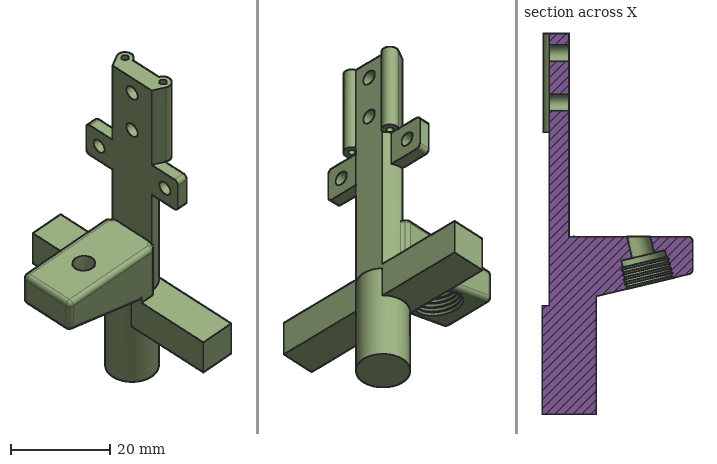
import cadquery as cq
import math


POST_DIA = 11.0
POST_HEIGHT = 22.0
TOTAL_HEIGHT = 77.0

BAR_LENGTH = 48.0
BAR_SIDE = 8.1
BAR_BOTTOM_Z = 15.0

CHANNEL_LENGTH = 20.0
CHANNEL_HOLE_DIA = 1.5
CHANNEL_OUTER_DIA = 3.5
CHANNEL_X = 5.35
CHANNEL_Y = 3.5

TAB_SPAN = 25.8
TAB_HEIGHT = 8.0
TAB_THICKNESS = 2.6
TAB_CORNER_RADIUS = 1.0
TAB_HOLE_SPACING = 18.5
TAB_HOLE_DIA = 3.1
MAST_HOLE_DIA = 3.2
MAST_HOLE_COUNT = 2
MAST_HOLE_PITCH = 10.0
MAST_HOLE_END_DISTANCE = 4.0

ARM_WIDTH = 13.2
ARM_REACH = 25.0
ARM_TOP_Z = 36.0
ARM_TIP_BOTTOM_Z = 28.5
ARM_ROOT_BOTTOM_Z = 23.5

SCREW_HOLE_DIA = 4.5
SCREW_HOLE_LENGTH = 4.0
SCREW_HOLE_Y = -14.0
BORE_DIA = 9.0
GROOVE_DIA = 9.91
GROOVE_PITCH = 1.0

POST_RADIUS = POST_DIA / 2
BAR_HALF = BAR_SIDE / 2
BAR_TOP_Z = BAR_BOTTOM_Z + BAR_SIDE
CHANNEL_BOTTOM_Z = TOTAL_HEIGHT - CHANNEL_LENGTH
ARM_EDGE_RADIUS = (ARM_WIDTH - POST_DIA) / 2
ARM_SLOPE = math.atan2(ARM_TIP_BOTTOM_Z - ARM_ROOT_BOTTOM_Z, ARM_REACH - BAR_HALF)


def box(x_range, y_range, z_range):
    """Axis-aligned block between pairs of limits."""
    size = [high - low for low, high in (x_range, y_range, z_range)]
    corner = (x_range[0], y_range[0], z_range[0])
    return cq.Workplane("XY").box(*size, centered=False).translate(corner)


def arc_middle(centre, start, end):
    """Middle point of the shorter arc from start to end about centre."""
    toward_middle = (start + end) * 0.5 - centre
    return centre + toward_middle.normalized() * (start - centre).Length


def make_post():
    """Round post, with its front half carried up into the arm."""
    post = cq.Workplane("XY").circle(POST_RADIUS).extrude(POST_HEIGHT)
    neck = cq.Workplane("XY").circle(POST_RADIUS).extrude(ARM_TIP_BOTTOM_Z)
    front = box((-POST_DIA, POST_DIA), (-POST_DIA, 0), (0, ARM_TIP_BOTTOM_Z))
    return post.union(neck.intersect(front))


def make_bar():
    """Square bar crossing the post."""
    return box((-BAR_LENGTH / 2, BAR_LENGTH / 2), (-BAR_HALF, BAR_HALF), (BAR_BOTTOM_Z, BAR_TOP_Z))


def make_mast():
    """Half-round mast, flat at the front and trimmed level with the bar at the back."""
    rod = cq.Workplane("XY").circle(POST_RADIUS).extrude(TOTAL_HEIGHT)
    slab = box((-POST_RADIUS, POST_RADIUS), (0, BAR_HALF), (BAR_BOTTOM_Z, TOTAL_HEIGHT))
    return rod.intersect(slab)


def make_channel(side):
    """Round channel wall with a flat web running tangentially to the mast's front corner."""
    radius = CHANNEL_OUTER_DIA / 2
    offset_x = CHANNEL_X - POST_RADIUS
    distance = math.hypot(offset_x, CHANNEL_Y)
    normal_angle = math.atan2(-CHANNEL_Y, -offset_x) + math.acos(radius / distance)
    tangent_x = CHANNEL_X + radius * math.cos(normal_angle)
    tangent_y = CHANNEL_Y + radius * math.sin(normal_angle)
    level = cq.Workplane("XY").workplane(offset=CHANNEL_BOTTOM_Z)
    wall = level.center(side * CHANNEL_X, CHANNEL_Y).circle(radius).extrude(CHANNEL_LENGTH)
    web = (
        level.moveTo(0, 0)
        .lineTo(side * POST_RADIUS, 0)
        .lineTo(side * tangent_x, tangent_y)
        .lineTo(side * CHANNEL_X, CHANNEL_Y)
        .lineTo(0, CHANNEL_Y)
        .close()
        .extrude(CHANNEL_LENGTH)
    )
    return wall.union(web)


def make_tabs():
    """Plate across the mast forming a rounded tab on each side."""
    z_range = (CHANNEL_BOTTOM_Z - TAB_HEIGHT, CHANNEL_BOTTOM_Z)
    plate = box((-TAB_SPAN / 2, TAB_SPAN / 2), (0, TAB_THICKNESS), z_range)
    return plate.edges("|Y").fillet(TAB_CORNER_RADIUS)


def make_arm_plan():
    """Arm outline from above, widening from the mast through a concave and a convex round."""
    radius = ARM_EDGE_RADIUS
    round_centre = cq.Vector(POST_RADIUS, -radius)
    round_distance = math.hypot(POST_RADIUS, radius)
    hollow_distance = POST_RADIUS + radius
    cos_apex = (round_distance**2 + hollow_distance**2 - (2 * radius) ** 2) / (
        2 * round_distance * hollow_distance
    )
    hollow_angle = math.acos(cos_apex) - math.atan2(radius, POST_RADIUS)
    hollow_centre = cq.Vector(math.cos(hollow_angle), math.sin(hollow_angle)) * hollow_distance

    on_mast = hollow_centre * (POST_RADIUS / hollow_distance)
    between = (round_centre + hollow_centre) * 0.5
    on_side = round_centre + cq.Vector(radius, 0)
    hollow_mid = arc_middle(hollow_centre, on_mast, between)
    round_mid = arc_middle(round_centre, between, on_side)

    half = (
        cq.Workplane("XY")
        .workplane(offset=BAR_TOP_Z)
        .moveTo(0, 0)
        .lineTo(on_mast.x, on_mast.y)
        .threePointArc((hollow_mid.x, hollow_mid.y), (between.x, between.y))
        .threePointArc((round_mid.x, round_mid.y), (on_side.x, on_side.y))
        .lineTo(ARM_WIDTH / 2, -ARM_REACH)
        .lineTo(0, -ARM_REACH)
        .close()
        .extrude(ARM_TOP_Z - BAR_TOP_Z)
    )
    return half.union(half.mirror("YZ")).clean()


def make_arm():
    """Arm with a sloping underside and rounded edges, standing on the bar at its root."""
    profile = [
        (POST_RADIUS, BAR_TOP_Z),
        (POST_RADIUS, ARM_TOP_Z),
        (-ARM_REACH, ARM_TOP_Z),
        (-ARM_REACH, ARM_TIP_BOTTOM_Z),
        (-BAR_HALF, ARM_ROOT_BOTTOM_Z),
        (-BAR_HALF, BAR_TOP_Z),
    ]
    wedge = cq.Workplane("YZ").polyline(profile).close().extrude(ARM_WIDTH, both=True)
    arm = make_arm_plan().intersect(wedge)
    tip_edges = arm.faces("<Y").edges()
    top_edges = arm.faces(">Z").edges("|Y or %CIRCLE")
    slope_edges = arm.edges("%LINE").edges("not(|X or |Y or |Z)").edges("<X or >X")
    rounded = tip_edges.add(top_edges).add(slope_edges)
    return arm.newObject(rounded.vals()).fillet(ARM_EDGE_RADIUS)


def make_cross_hole(x, z, diameter):
    """Cutter for a hole along Y through the mast or a tab."""
    hole = cq.Workplane("XZ").center(x, z).circle(diameter / 2)
    return hole.extrude(POST_DIA, both=True)


def make_channel_hole(side):
    """Cutter for the small hole along a wire channel."""
    level = cq.Workplane("XY").workplane(offset=CHANNEL_BOTTOM_Z)
    return level.center(side * CHANNEL_X, CHANNEL_Y).circle(CHANNEL_HOLE_DIA / 2).extrude(CHANNEL_LENGTH)


def make_arm_bore():
    """Cutter for the screw hole and the grooved bore opening in the arm's underside."""
    down = cq.Vector(0, -math.sin(ARM_SLOPE), -math.cos(ARM_SLOPE))
    across = cq.Vector(1, 0, 0)
    axis = cq.Plane(origin=(0, SCREW_HOLE_Y, ARM_TOP_Z), xDir=across, normal=across.cross(down))
    root_to_hole = -BAR_HALF - SCREW_HOLE_Y
    drop = ARM_TOP_Z - ARM_ROOT_BOTTOM_Z - root_to_hole * math.tan(ARM_SLOPE)
    depth = drop * math.cos(ARM_SLOPE)
    start = -SCREW_HOLE_DIA
    end = depth + GROOVE_PITCH / 2
    groove_count = math.floor((depth - SCREW_HOLE_LENGTH) / GROOVE_PITCH)
    section = [
        (0, start),
        (SCREW_HOLE_DIA / 2, start),
        (SCREW_HOLE_DIA / 2, SCREW_HOLE_LENGTH),
        (BORE_DIA / 2, SCREW_HOLE_LENGTH),
    ]
    for index in reversed(range(groove_count)):
        groove_mid = depth - index * GROOVE_PITCH
        section.append((BORE_DIA / 2, groove_mid - GROOVE_PITCH / 2))
        section.append((GROOVE_DIA / 2, groove_mid))
    section.append((BORE_DIA / 2, end))
    section.append((0, end))
    half_section = cq.Workplane(axis).polyline(section).close()
    return half_section.revolve(360, (0, 0), (0, 1))


body = make_post().union(make_bar()).union(make_mast()).union(make_tabs()).union(make_arm())
for side in (-1, 1):
    body = body.union(make_channel(side))
tab_hole_z = CHANNEL_BOTTOM_Z - TAB_HEIGHT / 2
for side in (-1, 1):
    body = body.cut(make_channel_hole(side))
    body = body.cut(make_cross_hole(side * TAB_HOLE_SPACING / 2, tab_hole_z, TAB_HOLE_DIA))
for index in range(MAST_HOLE_COUNT):
    mast_hole_z = TOTAL_HEIGHT - MAST_HOLE_END_DISTANCE - index * MAST_HOLE_PITCH
    body = body.cut(make_cross_hole(0, mast_hole_z, MAST_HOLE_DIA))
result = body.cut(make_arm_bore())